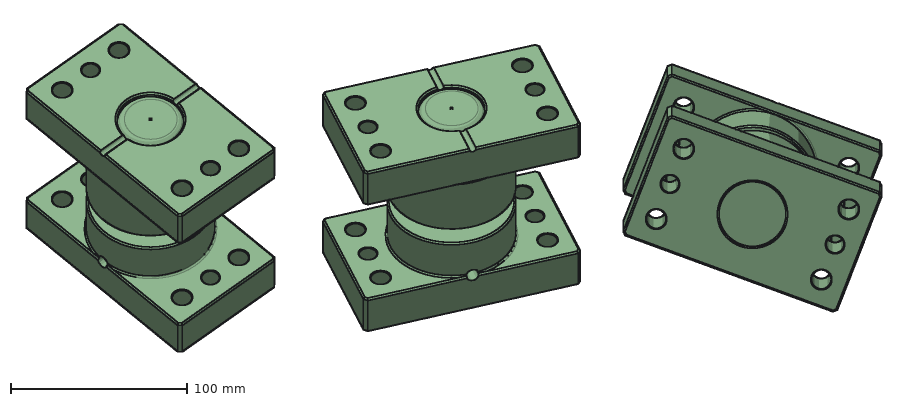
import cadquery as cq

plate_length = 130.0
plate_width = 75.0
plate_thickness = 25.0
edge_chamfer = 1.0
corner_chamfer = 2.0

total_height = 120.0
lower_boss_height = 25.0
boss_gap = 10.0
boss_radius = plate_width / 2 - edge_chamfer
root_fillet = 1.0

pin_radius = 19.0
pin_end_fillet = 4.0
center_mark_diameter = 1.5
center_mark_depth = 1.0

hole_x = 50.0
screw_hole_y = 22.0
screw_hole_diameter = 11.0
dowel_hole_diameter = 10.0
hole_chamfer = 0.5

groove_radius = 2.0
grease_hole_radius = 3.5

lower_boss_top = plate_thickness + lower_boss_height
upper_boss_bottom = lower_boss_top + boss_gap
upper_plate_bottom = total_height - plate_thickness
upper_boss_height = upper_plate_bottom - upper_boss_bottom


def chamfered_cutter(radius, depth, chamfer):
    """Cylinder from Z = 0 to depth that flares by the chamfer at both ends."""
    outline = [
        (0, 0),
        (radius + chamfer, 0),
        (radius, chamfer),
        (radius, depth - chamfer),
        (radius + chamfer, depth),
        (0, depth),
    ]
    return cq.Workplane("XZ").polyline(outline).close().revolve(360, (0, 0, 0), (0, 1, 0))


def make_plate():
    """Rectangular plate on Z = 0 with chamfered edges and six mounting holes."""
    plate = cq.Workplane("XY").box(plate_length, plate_width, plate_thickness, centered=(True, True, False))
    plate = plate.edges("|Z").chamfer(corner_chamfer)
    plate = plate.faces("<Z or >Z").edges().chamfer(edge_chamfer)
    screw_cutter = chamfered_cutter(screw_hole_diameter / 2, plate_thickness, hole_chamfer)
    dowel_cutter = chamfered_cutter(dowel_hole_diameter / 2, plate_thickness, hole_chamfer)
    for x in (-hole_x, hole_x):
        plate = plate.cut(dowel_cutter.translate((x, 0, 0)))
        for y in (-screw_hole_y, screw_hole_y):
            plate = plate.cut(screw_cutter.translate((x, y, 0)))
    return plate


def make_boss(height):
    """Boss standing on the plate top, with a filleted root and a chamfered free end."""
    top = plate_thickness + height
    root_outer = boss_radius + root_fillet
    root_top = plate_thickness + root_fillet
    profile = (
        cq.Workplane("XZ")
        .moveTo(0, plate_thickness)
        .lineTo(root_outer, plate_thickness)
        .radiusArc((boss_radius, root_top), root_fillet)
        .lineTo(boss_radius, top - edge_chamfer)
        .lineTo(boss_radius - edge_chamfer, top)
        .lineTo(0, top)
        .close()
    )
    boss = profile.revolve(360, (0, 0, 0), (0, 1, 0))
    flat_width = plate_width - 2 * edge_chamfer
    trim = cq.Workplane("XY").box(plate_length, flat_width, top, centered=(True, True, False))
    return boss.intersect(trim)


def make_block(boss_height):
    """Plate and boss in one piece, bored through for the pin."""
    bore = chamfered_cutter(pin_radius, plate_thickness + boss_height, edge_chamfer)
    return make_plate().union(make_boss(boss_height)).cut(bore)


def make_lower_block():
    """Block with its boss upward and a grease hole from the front into the bore."""
    grease_hole = (
        cq.Workplane("XZ", origin=(0, 0, plate_thickness))
        .circle(grease_hole_radius)
        .extrude(plate_width / 2)
    )
    return make_block(lower_boss_height).cut(grease_hole)


def make_upper_block():
    """Block turned over so its boss hangs down, with a round grease groove across its top."""
    block = make_block(upper_boss_height).rotate((0, 0, 0), (1, 0, 0), 180).translate((0, 0, total_height))
    groove = (
        cq.Workplane("XZ", origin=(0, 0, total_height))
        .moveTo(-groove_radius, 0)
        .threePointArc((0, -groove_radius), (groove_radius, 0))
        .close()
        .extrude(plate_width / 2, both=True)
    )
    return block.cut(groove)


def make_pin():
    """Plain pin through both bores with rounded ends and a centre mark on top."""
    pin = cq.Workplane("XY").circle(pin_radius).extrude(total_height)
    pin = pin.faces(">Z").edges().fillet(pin_end_fillet)
    return pin.faces(">Z").workplane().hole(center_mark_diameter, center_mark_depth)


lower_block = make_lower_block()
upper_block = make_upper_block()
guide_pin = make_pin()

result = cq.Compound.makeCompound([lower_block.val(), upper_block.val(), guide_pin.val()])